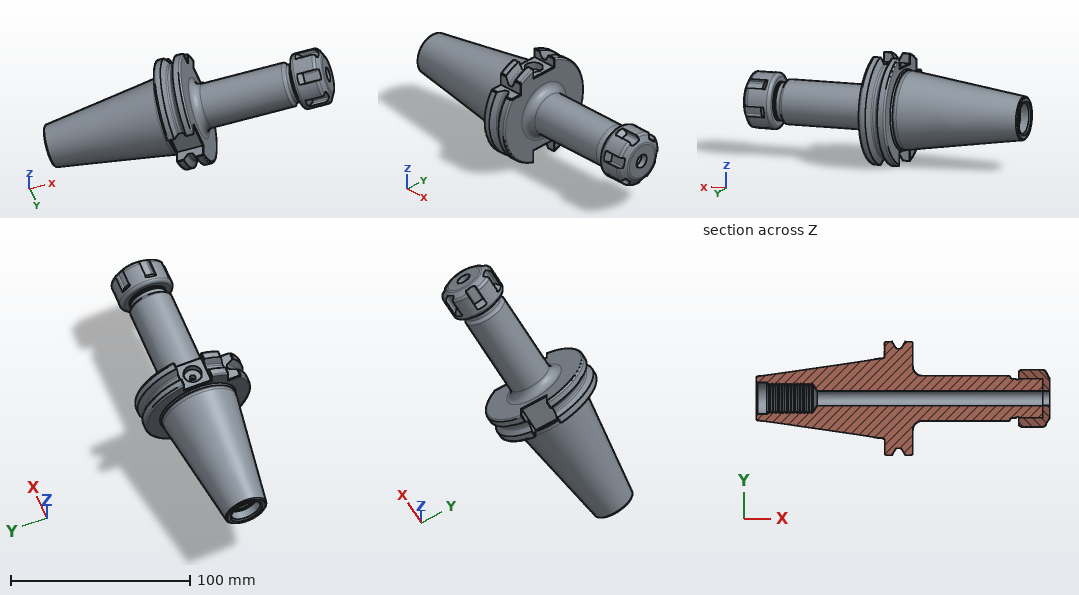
import cadquery as cq
import math


tolerance = 0.1

taper_length = 68.4
gauge_radius = 44.45 / 2
taper_ratio = 7 / 24 / 2
taper_end_radius = gauge_radius - taper_length * taper_ratio
taper_end_chamfer = 0.7
collar_end = 1.5
flare_start = 2.1
flare_start_rise = 0.1
flare_end_rise = 0.7

flange_start = 3.2
flange_end = 19.1
flange_radius = 63.55 / 2
flange_edge_radius = 1.0
groove_center = 11.1
groove_half_width = 3.6
groove_half_angle = math.radians(30)
groove_depth = 3.9
groove_floor_radius = 1.0

slot_width = 16.1
top_slot_height = 25.0
bottom_slot_height = 22.8
notch_offset = 18.5
cutout_chamfer = 0.45

port_recess_radius = 5.15
port_recess_depth = 4.5
port_radius = 1.7
port_depth = 9.0

body_radius = 25.4 / 2
body_fillet = 5.0
shoulder_end = 74.3
shoulder_start = 72.3
spigot_radius = 11.0
spigot_neck_radius = 10.4
spigot_neck_length = 1.7
spigot_neck_slope_length = 1.0

through_radius = 4.0
mouth_radius = 9.6
counterbore_radius = 8.7
counterbore_depth = 6.0
thread_crest_radius = 7.4
thread_root_radius = 8.2
thread_pitch = 2.0
thread_turns = 13
drill_half_angle = math.radians(59)

nut_length = 17.5
overall_length = 163.87
nut_end = overall_length - taper_length
nut_start = nut_end - nut_length
nut_radius = 16.0
nut_back_fillet = 2.0
nut_front_radius = 10.8
nut_cone_length = 3.0
nut_front_fillet = 2.0
nut_tip_fillet = 2.5
nut_wall = 4.0
spigot_end = nut_end - nut_wall

spanner_slot_count = 6
spanner_slot_first_angle = 14.5
spanner_slot_width = 6.2
spanner_slot_corner = 0.8
spanner_slot_floor = 13.0
spanner_slot_start = nut_start + 3.5


def revolve_about_x(profile):
    return profile.close().revolve(360, (0, 0, 0), (1, 0, 0))


def cylinder_x(radius, start, length):
    return cq.Workplane("YZ", origin=(start, 0, 0)).circle(radius).extrude(length)


def edges_between(start, end, radius):
    """Selects the edges that lie from X = start to X = end and within a radius of the axis."""
    reach = radius + tolerance
    return cq.selectors.BoxSelector(
        (start - tolerance, -reach, -reach), (end + tolerance, reach, reach), boundingbox=True
    )


def taper_shank():
    end_x = -taper_length
    return revolve_about_x(
        cq.Workplane("XZ")
        .moveTo(end_x, 0)
        .lineTo(end_x, taper_end_radius - taper_end_chamfer)
        .lineTo(end_x + taper_end_chamfer, taper_end_radius + taper_end_chamfer * taper_ratio)
        .lineTo(0, gauge_radius)
        .lineTo(collar_end, gauge_radius)
        .lineTo(flare_start, gauge_radius + flare_start_rise)
        .lineTo(flange_start, gauge_radius + flare_end_rise)
        .lineTo(flange_start, 0)
    )


def groove_cutter():
    floor_half_width = groove_half_width - groove_depth * math.tan(groove_half_angle)
    floor_radius = flange_radius - groove_depth
    groove = revolve_about_x(
        cq.Workplane("XZ")
        .moveTo(groove_center - floor_half_width, floor_radius)
        .lineTo(groove_center - groove_half_width, flange_radius)
        .lineTo(groove_center + groove_half_width, flange_radius)
        .lineTo(groove_center + floor_half_width, floor_radius)
    )
    return groove.edges(edges_between(flange_start, flange_end, floor_radius)).fillet(groove_floor_radius)


def flange():
    width = flange_end - flange_start
    disc = revolve_about_x(
        cq.Workplane("XZ")
        .moveTo(flange_start, 0)
        .lineTo(flange_start, flange_radius)
        .lineTo(flange_end, flange_radius)
        .lineTo(flange_end, 0)
    )
    disc = disc.edges("%CIRCLE").fillet(flange_edge_radius)
    disc = disc.cut(flange_cutouts())
    outer_edges = disc.faces("|Y or |Z").edges().filter(
        lambda edge: abs(edge.Length() - width) > tolerance
    )
    disc = outer_edges.chamfer(cutout_chamfer)
    return disc.cut(groove_cutter())


def flange_cutouts():
    length = flange_end - flange_start
    middle = (flange_start + flange_end) / 2
    reach = flange_radius
    upward = (True, True, False)
    top_slot = cq.Workplane("XY", origin=(middle, 0, top_slot_height)).box(
        length, slot_width, reach, centered=upward
    )
    bottom_slot = cq.Workplane("XY", origin=(middle, 0, -bottom_slot_height - reach)).box(
        length, slot_width, reach, centered=upward
    )
    notch = cq.Workplane("XY", origin=(middle, -notch_offset - reach / 2, notch_offset)).box(
        length, reach, reach, centered=upward
    )
    return top_slot.union(bottom_slot).union(notch)


def coolant_port():
    floor = cq.Workplane("XY", origin=(groove_center, 0, top_slot_height))
    recess = floor.circle(port_recess_radius).extrude(-port_recess_depth)
    tip = port_radius / math.tan(drill_half_angle)
    drill = (
        cq.Workplane("XZ", origin=(groove_center, 0, top_slot_height))
        .lineTo(port_radius, 0)
        .lineTo(port_radius, -port_depth)
        .lineTo(0, -port_depth - tip)
        .close()
        .revolve(360, (0, 0, 0), (0, 1, 0))
    )
    return recess.union(drill)


def straight_body():
    fillet_top = body_radius + body_fillet
    fillet_mid = body_fillet * (1 - math.sqrt(0.5))
    neck_start = nut_start - spigot_neck_length
    return revolve_about_x(
        cq.Workplane("XZ")
        .moveTo(flange_end - flange_edge_radius, 0)
        .lineTo(flange_end - flange_edge_radius, fillet_top)
        .lineTo(flange_end, fillet_top)
        .threePointArc(
            (flange_end + fillet_mid, body_radius + fillet_mid),
            (flange_end + body_fillet, body_radius),
        )
        .lineTo(shoulder_start, body_radius)
        .spline(
            [(shoulder_start, body_radius), (shoulder_end, spigot_radius)],
            tangents=[(1, 0), (1, 0)],
        )
        .lineTo(neck_start, spigot_radius)
        .lineTo(neck_start + spigot_neck_slope_length, spigot_neck_radius)
        .lineTo(nut_start, spigot_neck_radius)
        .lineTo(nut_start, spigot_radius)
        .lineTo(spigot_end, spigot_radius)
        .lineTo(spigot_end, 0)
    )


def holder_bore():
    start = -taper_length
    counterbore_end = start + counterbore_depth
    thread_end = counterbore_end + thread_turns * thread_pitch
    cone_length = (thread_crest_radius - through_radius) / math.tan(drill_half_angle)
    profile = (
        cq.Workplane("XZ")
        .moveTo(start, 0)
        .lineTo(start, mouth_radius)
        .lineTo(start + mouth_radius - counterbore_radius, counterbore_radius)
        .lineTo(counterbore_end, counterbore_radius)
        .lineTo(counterbore_end, thread_crest_radius)
    )
    for turn in range(thread_turns):
        turn_start = counterbore_end + turn * thread_pitch
        profile = profile.lineTo(turn_start + thread_pitch / 2, thread_root_radius)
        profile = profile.lineTo(turn_start + thread_pitch, thread_crest_radius)
    return revolve_about_x(
        profile.lineTo(thread_end + cone_length, through_radius)
        .lineTo(spigot_end, through_radius)
        .lineTo(spigot_end, 0)
    )


def spanner_slot(angle):
    ramp = nut_radius - spanner_slot_floor
    cutter = (
        cq.Workplane("XZ", origin=(0, spanner_slot_width / 2, 0))
        .moveTo(spanner_slot_start, nut_radius)
        .lineTo(spanner_slot_start + ramp, spanner_slot_floor)
        .lineTo(nut_end, spanner_slot_floor)
        .lineTo(nut_end, nut_radius)
        .close()
        .extrude(spanner_slot_width)
    )
    cutter = cutter.faces("<Z").edges("|X").fillet(spanner_slot_corner)
    return cutter.rotate((0, 0, 0), (1, 0, 0), angle)


def make_holder():
    solid = taper_shank().union(flange()).union(straight_body())
    return solid.cut(holder_bore()).cut(coolant_port())


def make_nut():
    outline = revolve_about_x(
        cq.Workplane("XZ")
        .moveTo(nut_start, 0)
        .lineTo(nut_start, nut_radius)
        .lineTo(nut_end - nut_cone_length, nut_radius)
        .lineTo(nut_end, nut_front_radius)
        .lineTo(nut_end, 0)
    )
    outline = outline.edges("<X").fillet(nut_back_fillet)
    outline = outline.edges(">X").fillet(nut_tip_fillet)
    cone_start = nut_end - nut_cone_length
    outline = outline.edges(edges_between(cone_start, cone_start, nut_radius)).fillet(nut_front_fillet)
    for index in range(spanner_slot_count):
        outline = outline.cut(spanner_slot(spanner_slot_first_angle + index * 360 / spanner_slot_count))
    socket = cylinder_x(spigot_radius, nut_start, spigot_end - nut_start)
    opening = cylinder_x(through_radius, spigot_end, nut_wall)
    return outline.cut(socket).cut(opening)


holder = make_holder()
nut = make_nut()

result = cq.Compound.makeCompound([holder.val(), nut.val()])